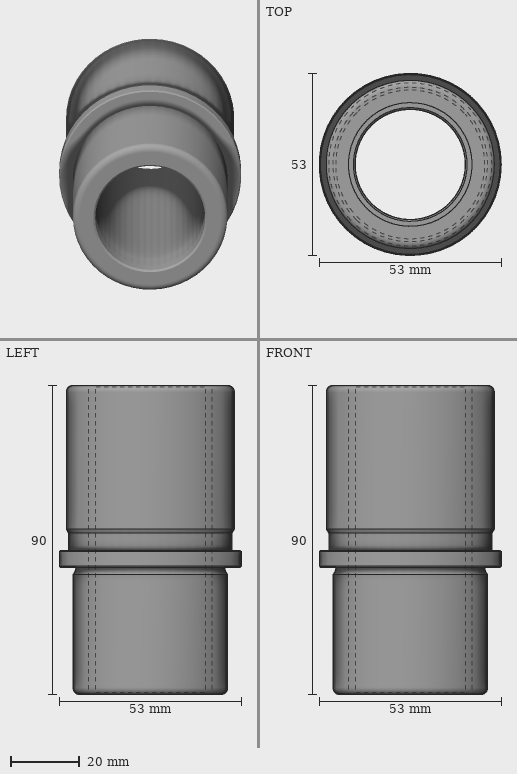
import cadquery as cq

TOTAL_HEIGHT = 90.0
BODY_RADIUS = 24.5
FLANGE_DIAMETER = 53.0
NECK_RADIUS = 23.8
SHANK_RADIUS = 22.5

FLANGE_BOTTOM = 37.0
FLANGE_THICKNESS = 4.95
NECK_TOP = 47.0
NECK_TAPER_HEIGHT = 1.2

END_ROUND = 2.0
FLANGE_CHAMFER = 0.4

UNDERCUT_DEPTH = 0.8
UNDERCUT_HEIGHT = 2.0

LINER_RADIUS = 18.0
BORE_RADIUS = 16.0
BORE_CHAMFER = 0.5

FLANGE_RADIUS = FLANGE_DIAMETER / 2
FLANGE_TOP = FLANGE_BOTTOM + FLANGE_THICKNESS
BODY_BOTTOM = NECK_TOP + NECK_TAPER_HEIGHT
UNDERCUT_RADIUS = (UNDERCUT_DEPTH**2 + UNDERCUT_HEIGHT**2) / (2 * UNDERCUT_DEPTH)


def make_sleeve():
    """Flanged outer sleeve, revolved about Z, with a plain bore for the liner."""
    profile = (
        cq.Workplane("XZ")
        .moveTo(LINER_RADIUS, 0)
        .lineTo(SHANK_RADIUS, 0)
        .lineTo(SHANK_RADIUS, FLANGE_BOTTOM - UNDERCUT_HEIGHT)
        .radiusArc((SHANK_RADIUS - UNDERCUT_DEPTH, FLANGE_BOTTOM), UNDERCUT_RADIUS)
        .lineTo(FLANGE_RADIUS, FLANGE_BOTTOM)
        .lineTo(FLANGE_RADIUS, FLANGE_TOP)
        .lineTo(NECK_RADIUS, FLANGE_TOP)
        .lineTo(NECK_RADIUS, NECK_TOP)
        .lineTo(BODY_RADIUS, BODY_BOTTOM)
        .lineTo(BODY_RADIUS, TOTAL_HEIGHT)
        .lineTo(LINER_RADIUS, TOTAL_HEIGHT)
        .close()
    )
    sleeve = profile.revolve(360, (0, 0, 0), (0, 1, 0))
    for end_face in ("<Z", ">Z"):
        sleeve = sleeve.faces(end_face).edges(cq.selectors.RadiusNthSelector(-1)).fillet(END_ROUND)
    return sleeve.edges(cq.selectors.RadiusNthSelector(-1)).chamfer(FLANGE_CHAMFER)


def make_liner():
    """Full-length tube with a chamfered bore at both ends."""
    liner = cq.Workplane("XY").circle(LINER_RADIUS).circle(BORE_RADIUS).extrude(TOTAL_HEIGHT)
    return liner.edges(cq.selectors.RadiusNthSelector(0)).chamfer(BORE_CHAMFER)


sleeve = make_sleeve()
liner = make_liner()

result = cq.Compound.makeCompound([sleeve.val(), liner.val()])